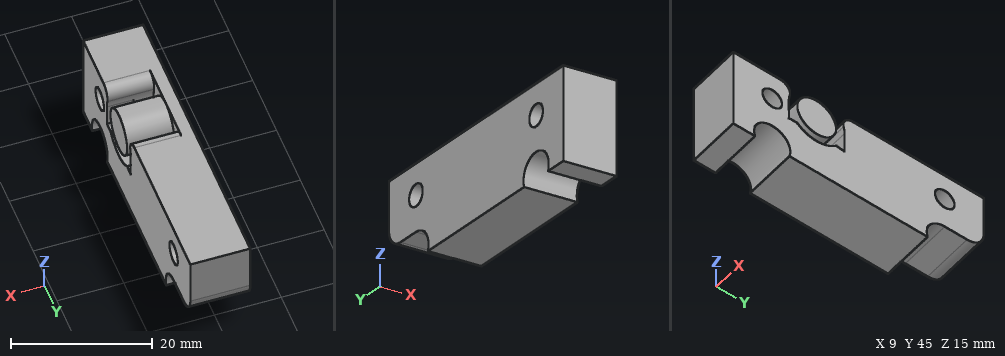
import cadquery as cq
import math

WIDTH = 9.0
LENGTH = 45.0
HEIGHT = 15.0

HOLE_DIAMETER = 3.5
HOLE_POSITIONS_Y = (7.0, 38.0)
HOLE_Z = 10.0
RELIEF_RADIUS = 3.25
RELIEF_Z = 1.0
CORNER_RADIUS = 3.0

SIDE_WALL = 2.0
POST_RADIUS = 3.5
SLOT_WIDTH = 1.5
POST_Y = 15.0
POST_Z = HEIGHT - POST_RADIUS
RING_RADIUS = POST_RADIUS + SLOT_WIDTH
LIP_RADIUS = 1.75

NOTCH_START_X = 5.0
POCKET_FLOOR_RADIUS = 7.0


def side_plane(start_x=0.0):
    """Sketch plane at start_x, facing +X: local x runs along Y, local y along Z."""
    return cq.Workplane("YZ", origin=(start_x, 0, 0))


def cylinder(y, z, radius, start_x=0.0):
    """Cylinder along X, from start_x to the +X face."""
    return side_plane(start_x).center(y, z).circle(radius).extrude(WIDTH - start_x)


def block():
    return cq.Workplane("XY").box(WIDTH, LENGTH, HEIGHT, centered=False)


def end_step():
    """Step under the +Y end, from the far relief out to the end face."""
    start_y = HOLE_POSITIONS_Y[-1]
    step_length = LENGTH - start_y
    step_height = RELIEF_Z + RELIEF_RADIUS
    step = cq.Workplane("XY").box(WIDTH, step_length, step_height, centered=False)
    return step.translate((0, start_y, 0))


def ring_slot():
    """Ring around the post, blended into the top face by a rounded lip on each side."""
    lip_rise = HEIGHT - LIP_RADIUS - POST_Z
    lip_offset = math.sqrt((RING_RADIUS + LIP_RADIUS) ** 2 - lip_rise**2)

    tangent_share = RING_RADIUS / (RING_RADIUS + LIP_RADIUS)
    tangent_offset = lip_offset * tangent_share
    tangent_z = POST_Z + lip_rise * tangent_share

    tangent_angle = -math.atan2(lip_rise, lip_offset)
    middle_angle = (math.pi / 2 + tangent_angle) / 2
    middle_offset = lip_offset - LIP_RADIUS * math.cos(middle_angle)
    middle_z = POST_Z + lip_rise + LIP_RADIUS * math.sin(middle_angle)

    return (
        side_plane(SIDE_WALL)
        .moveTo(POST_Y - lip_offset, HEIGHT)
        .threePointArc((POST_Y - middle_offset, middle_z), (POST_Y - tangent_offset, tangent_z))
        .threePointArc((POST_Y, POST_Z - RING_RADIUS), (POST_Y + tangent_offset, tangent_z))
        .threePointArc((POST_Y + middle_offset, middle_z), (POST_Y + lip_offset, HEIGHT))
        .close()
        .extrude(WIDTH - SIDE_WALL)
    )


def ring_wall_z():
    """Height of the ring's lower wall straight below the side of the post."""
    return POST_Z - math.sqrt(RING_RADIUS**2 - POST_RADIUS**2)


def flat_notch():
    """Flat-floored notch on the -Y side of the ring, in its +X part only."""
    floor_z = ring_wall_z()
    depth_x = WIDTH - NOTCH_START_X
    notch = cq.Workplane("XY").box(depth_x, SLOT_WIDTH, POST_Z - floor_z, centered=False)
    return notch.translate((NOTCH_START_X, POST_Y - RING_RADIUS, floor_z))


def curved_pocket():
    """Pocket on the +Y side of the ring; its floor arc levels out below the ring's far side."""
    inner_y = POST_Y + POST_RADIUS
    outer_y = POST_Y + RING_RADIUS
    start_z = ring_wall_z()
    floor_drop = POCKET_FLOOR_RADIUS - math.sqrt(POCKET_FLOOR_RADIUS**2 - SLOT_WIDTH**2)
    return (
        side_plane(SIDE_WALL)
        .moveTo(inner_y, POST_Z)
        .lineTo(inner_y, start_z)
        .radiusArc((outer_y, start_z - floor_drop), -POCKET_FLOOR_RADIUS)
        .lineTo(outer_y, POST_Z)
        .close()
        .extrude(WIDTH - SIDE_WALL)
    )


result = block().cut(end_step())
result = result.edges("|X").edges(">Y").edges("<Z").fillet(CORNER_RADIUS)

for hole_y in HOLE_POSITIONS_Y:
    result = result.cut(cylinder(hole_y, HOLE_Z, HOLE_DIAMETER / 2))
    result = result.cut(cylinder(hole_y, RELIEF_Z, RELIEF_RADIUS))

slot = ring_slot().union(flat_notch()).union(curved_pocket())
post = cylinder(POST_Y, POST_Z, POST_RADIUS, SIDE_WALL)
result = result.cut(slot.cut(post))